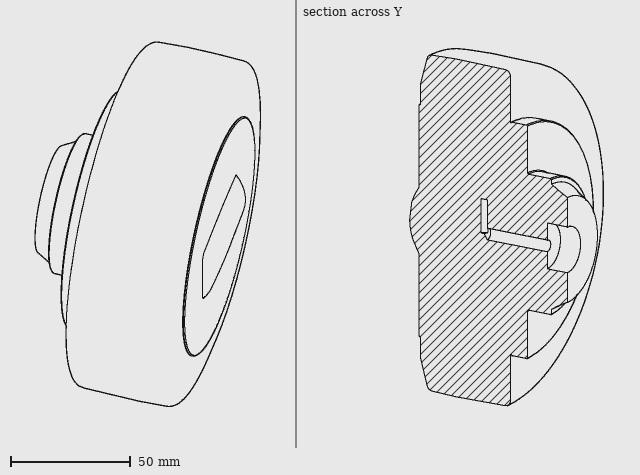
import cadquery as cq
import math

outer_radius = 74.5
total_length = 78.5

shoulder_x = 7.9
disc_front_x = 19.8
wheel_front_x = 28.2
wheel_back_x = 73.0
plate_back_x = 73.8

nose_tip_radius = 23.1
nose_base_radius = 27.5
collar_radius = 60.0 / 2
disc_radius = 103.0 / 2
plate_radius = 102.5 / 2
edge_chamfer = 0.5
collar_flare = 0.5

wheel_edge_radius = 73.9
cone_start_x = 69.3
cone_end_radius = 60.5
rim_fillet = 3.0

bore_diameter = 20.0
bore_depth = 10.0
centre_diameter = 4.9
centre_depth = 29.8
centre_tip_angle = 118.0

cross_diameter = 3.0
cross_length = 14.9

roller_radius = 25.2
roller_edge_radius = 24.6
roller_length = 50.4
roller_fillet = 2.7


def cylinder(start_x, end_x, radius):
    """Solid cylinder about the X axis."""
    return cq.Workplane("YZ", origin=(start_x, 0, 0)).circle(radius).extrude(end_x - start_x)


def make_nose():
    return (
        cq.Workplane("XY")
        .moveTo(0, 0)
        .lineTo(0, nose_tip_radius)
        .lineTo(shoulder_x, nose_base_radius)
        .lineTo(shoulder_x, 0)
        .close()
        .revolve(360, (0, 0, 0), (1, 0, 0))
    )


def make_wheel():
    crown_x = (wheel_front_x + cone_start_x) / 2
    wheel = (
        cq.Workplane("XY")
        .moveTo(wheel_front_x, 0)
        .lineTo(wheel_front_x, wheel_edge_radius)
        .threePointArc((crown_x, outer_radius), (cone_start_x, wheel_edge_radius))
        .lineTo(wheel_back_x, cone_end_radius)
        .lineTo(wheel_back_x, 0)
        .close()
        .revolve(360, (0, 0, 0), (1, 0, 0))
    )
    margin = 1.5
    reach = outer_radius + margin
    rim_edges = cq.selectors.BoxSelector(
        (wheel_front_x - margin, -reach, -reach),
        (cone_start_x + margin, reach, reach),
        boundingbox=True,
    )
    return wheel.edges("%CIRCLE").edges(rim_edges).fillet(rim_fillet)


def make_side_roller():
    half_length = roller_length / 2
    roller = (
        cq.Workplane("XY")
        .moveTo(0, -half_length)
        .lineTo(roller_edge_radius, -half_length)
        .threePointArc((roller_radius, 0), (roller_edge_radius, half_length))
        .lineTo(0, half_length)
        .close()
        .revolve(360, (0, 0, 0), (0, 1, 0))
        .faces("<Y or >Y")
        .edges()
        .fillet(roller_fillet)
        .translate((total_length - roller_radius, 0, 0))
    )
    return roller.intersect(cylinder(wheel_front_x, total_length, outer_radius))


def make_bore():
    bore = cylinder(0, bore_depth, bore_diameter / 2)
    centre_radius = centre_diameter / 2
    tip_length = centre_radius / math.tan(math.radians(centre_tip_angle / 2))
    drill_end_x = bore_depth + centre_depth
    centre_hole = (
        cq.Workplane("XY")
        .moveTo(bore_depth, 0)
        .lineTo(bore_depth, centre_radius)
        .lineTo(drill_end_x, centre_radius)
        .lineTo(drill_end_x + tip_length, 0)
        .close()
        .revolve(360, (0, 0, 0), (1, 0, 0))
    )
    cross_hole = (
        cq.Workplane("XY", origin=(drill_end_x + tip_length, 0, 0))
        .circle(cross_diameter / 2)
        .extrude(cross_length)
    )
    return bore.union(centre_hole).union(cross_hole)


def make_collar():
    """Collar with a chamfered front rim and a small conical flare at its foot."""
    return (
        cq.Workplane("XY")
        .moveTo(shoulder_x, 0)
        .lineTo(shoulder_x, collar_radius - edge_chamfer)
        .lineTo(shoulder_x + edge_chamfer, collar_radius)
        .lineTo(disc_front_x - collar_flare, collar_radius)
        .lineTo(disc_front_x, collar_radius + collar_flare)
        .lineTo(disc_front_x, 0)
        .close()
        .revolve(360, (0, 0, 0), (1, 0, 0))
    )


disc = cylinder(disc_front_x, wheel_front_x, disc_radius).edges().chamfer(edge_chamfer)
plate = cylinder(wheel_front_x, plate_back_x, plate_radius).faces(">X").edges().chamfer(edge_chamfer)

result = (
    make_wheel()
    .union(make_nose())
    .union(make_collar())
    .union(disc)
    .union(plate)
    .union(make_side_roller())
    .cut(make_bore())
)